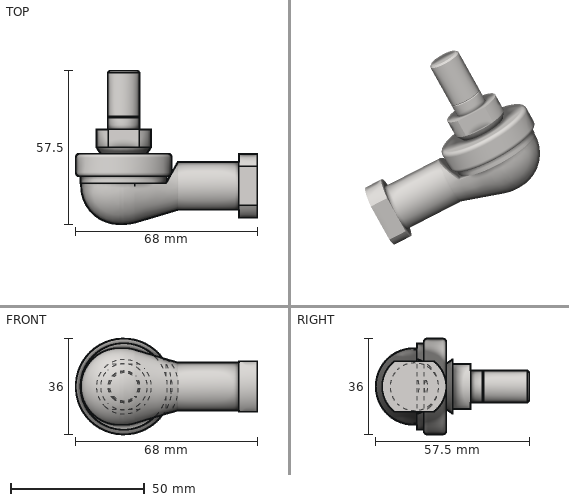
import cadquery as cq
import math


tube_radius = 9.0
tube_start_x = 20.3
housing_end_x = 50.0
collar_radius = 12.0
collar_length = 6.9
collar_across_flats = 19.0

head_radius = 14.4
dome_center_x = -1.6
head_top_y = 1.0
slope_foot_x = 15.8

seat_radius = 16.2
cap_radius = 18.0
cap_bottom_y = 3.5
cap_top_y = 12.1
cap_edge_radius = 1.5

stud_radius = 6.0
stud_end_y = 43.1
stud_end_chamfer = 0.7
thread_start_y = 26.0
groove_width = 0.5
groove_depth = 0.25
wrench_radius = 10.25
wrench_across_flats = 17.0
wrench_bottom_y = 14.5
wrench_top_y = 21.1
cone_foot_radius = 8.7


def cylinder_along_y(radius, bottom_y, top_y):
    """Round bar about the Y axis between two Y levels."""
    return cq.Workplane("XZ", origin=(0, bottom_y, 0)).circle(radius).extrude(bottom_y - top_y)


tangent_angle = (
    math.atan2(tube_radius, tube_start_x)
    + math.acos(head_radius / math.hypot(tube_start_x, tube_radius))
)
neck_start_x = head_radius * math.cos(tangent_angle)
neck_start_radius = head_radius * math.sin(tangent_angle)


def head_side():
    """Rounded side of the head from the dome's tip to the start of the neck."""
    dome_diagonal = head_radius * math.sqrt(0.5)
    middle_angle = (tangent_angle + math.pi / 2) / 2
    middle_of_arc = (head_radius * math.cos(middle_angle), head_radius * math.sin(middle_angle))
    return (
        cq.Workplane("XY")
        .moveTo(dome_center_x - head_radius, 0)
        .threePointArc((dome_center_x - dome_diagonal, dome_diagonal), (dome_center_x, head_radius))
        .lineTo(0, head_radius)
        .threePointArc(middle_of_arc, (neck_start_x, neck_start_radius))
    )


def make_head():
    """Dome and neck turned about X, cut off flat on top with a slope rising to the tube."""
    outline = head_side().lineTo(tube_start_x, tube_radius).lineTo(tube_start_x, 0).close()
    turned = outline.revolve(360, (0, 0, 0), (1, 0, 0))
    keep = (
        cq.Workplane("XY")
        .moveTo(dome_center_x - head_radius, -head_radius)
        .lineTo(tube_start_x, -head_radius)
        .lineTo(tube_start_x, tube_radius)
        .lineTo(slope_foot_x, head_top_y)
        .lineTo(neck_start_x, head_top_y)
        .lineTo(neck_start_x, 0)
        .lineTo(dome_center_x - head_radius, 0)
        .close()
        .extrude(head_radius, both=True)
    )
    return turned.intersect(keep)


def make_head_rim():
    """Straight wall that carries the head's mid-plane outline up to the flat top."""
    half = head_side().lineTo(neck_start_x, 0).close().extrude(head_top_y)
    whole = half.union(half.mirror("XZ"))
    return whole.rotate((0, 0, 0), (1, 0, 0), -90)


def make_tube():
    """Tube with a flange collar that has two flats facing +Z and -Z."""
    tube = (
        cq.Workplane("YZ", origin=(tube_start_x, 0, 0))
        .circle(tube_radius)
        .extrude(housing_end_x - tube_start_x)
    )
    flats = cq.Workplane("YZ").rect(2 * collar_radius, collar_across_flats).extrude(housing_end_x)
    collar = (
        cq.Workplane("YZ", origin=(housing_end_x - collar_length, 0, 0))
        .circle(collar_radius)
        .extrude(collar_length)
        .intersect(flats)
    )
    return tube.union(collar)


def make_housing():
    seat = cylinder_along_y(seat_radius, head_top_y, cap_bottom_y)
    cap = cylinder_along_y(cap_radius, cap_bottom_y, cap_top_y).edges().fillet(cap_edge_radius)
    return make_head().union(make_head_rim()).union(make_tube()).union(seat).union(cap)


def make_stud():
    """Turned stud standing on the cap, with two wrench flats facing +Z and -Z."""
    turned = (
        cq.Workplane("XY")
        .moveTo(0, cap_top_y)
        .lineTo(cone_foot_radius, cap_top_y)
        .lineTo(wrench_radius, wrench_bottom_y)
        .lineTo(wrench_radius, wrench_top_y)
        .lineTo(stud_radius, wrench_top_y)
        .lineTo(stud_radius, thread_start_y - groove_width)
        .lineTo(stud_radius - groove_depth, thread_start_y - groove_width / 2)
        .lineTo(stud_radius, thread_start_y)
        .lineTo(stud_radius, stud_end_y - stud_end_chamfer)
        .lineTo(stud_radius - stud_end_chamfer, stud_end_y)
        .lineTo(0, stud_end_y)
        .close()
        .revolve(360, (0, 0, 0), (0, 1, 0))
    )
    wrench_height = wrench_top_y - wrench_bottom_y
    waste_depth = wrench_radius - wrench_across_flats / 2
    for side in (1, -1):
        waste = cq.Workplane("XY").box(2 * wrench_radius, wrench_height, waste_depth).translate(
            (0, (wrench_top_y + wrench_bottom_y) / 2, side * (wrench_radius - waste_depth / 2))
        )
        turned = turned.cut(waste)
    return turned


housing = make_housing()
stud = make_stud()

result = cq.Compound.makeCompound([housing.val(), stud.val()])